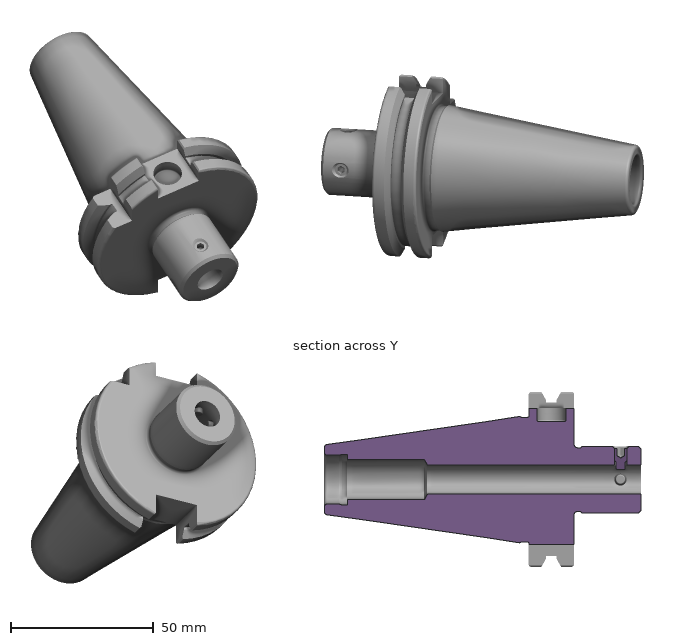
import cadquery as cq
import math


gauge_diameter = 44.45
taper_length = 68.4
taper_ratio = 7 / 24
small_end_diameter = gauge_diameter - taper_ratio * taper_length
small_end_fillet = 1.2

relief_diameter = 43.8
relief_chamfer_length = 0.6
relief_fillet = 0.6

flange_diameter = 63.55
flange_start = 3.2
flange_end = 19.1
flange_edge_fillet = 1.0

groove_center = 11.1
groove_floor_diameter = 56.0
groove_mouth_width = 7.0
groove_floor_width = 3.7
groove_wall_angle = 30.0

slot_width = 16.1
slot_edge_chamfer = 0.5
top_slot_floor = 25.0
bottom_slot_floor = 22.8
notch_offset = 18.5

pocket_diameter = 10.0
pocket_depth = 4.6
pocket_floor_fillet = 0.4

nose_diameter = 23.5
nose_end = 42.5
nose_end_chamfer = 1.0
nose_neck_diameter = 22.5
nose_neck_fillet = 1.0
nose_neck_end = 21.3
nose_neck_step = (nose_diameter - nose_neck_diameter) / 2

through_bore_diameter = 10.0
thread_bore_diameter = 13.84
thread_bore_depth = 35.0
drill_point_half_angle = 60.0
pilot_diameter = 17.0
pilot_mouth_fillet = 1.0
pilot_length = 5.3
undercut_diameter = 17.6
undercut_lead_length = 1.0
undercut_end = 8.1

screw_diameter = 4.3
screw_axis_from_end = 7.2
screw_axis_x = nose_end - screw_axis_from_end
screw_tip_radius = 3.5
screw_length = 7.4
dog_point_diameter = 3.3
dog_point_length = 2.5
dog_point_fillet = 0.3
hex_across_flats = 2.5
hex_depth = 2.5
hex_sides = 6
hex_half_side_angle = 180 / hex_sides
screw_hole_mouth_diameter = 6.0
screw_angles = (0, -90)

through_margin = 1.0


def revolve_profile(profile):
    """Turn a closed half-profile drawn in the XY plane about the X axis."""
    return profile.close().revolve(360, (0, 0, 0), (1, 0, 0))


def make_blank():
    """Taper, relief neck, flange and nose as one turned blank."""
    relief_radius = relief_diameter / 2
    flange_radius = flange_diameter / 2
    neck_radius = nose_neck_diameter / 2
    nose_radius = nose_diameter / 2

    taper = revolve_profile(
        cq.Workplane("XY")
        .moveTo(-taper_length, 0)
        .lineTo(-taper_length, small_end_diameter / 2)
        .lineTo(0, gauge_diameter / 2)
        .lineTo(relief_chamfer_length, relief_radius)
        .lineTo(relief_chamfer_length, 0)
    ).faces("<X").edges().fillet(small_end_fillet)

    flange_and_nose = revolve_profile(
        cq.Workplane("XY")
        .moveTo(relief_chamfer_length, 0)
        .lineTo(relief_chamfer_length, relief_radius)
        .lineTo(flange_start - relief_fillet, relief_radius)
        .radiusArc((flange_start, relief_radius + relief_fillet), -relief_fillet)
        .lineTo(flange_start, flange_radius - flange_edge_fillet)
        .radiusArc((flange_start + flange_edge_fillet, flange_radius), flange_edge_fillet)
        .lineTo(flange_end - flange_edge_fillet, flange_radius)
        .radiusArc((flange_end, flange_radius - flange_edge_fillet), flange_edge_fillet)
        .lineTo(flange_end, neck_radius + nose_neck_fillet)
        .radiusArc((flange_end + nose_neck_fillet, neck_radius), -nose_neck_fillet)
        .lineTo(nose_neck_end, neck_radius)
        .lineTo(nose_neck_end + nose_neck_step, nose_radius)
        .lineTo(nose_end - nose_end_chamfer, nose_radius)
        .lineTo(nose_end, nose_radius - nose_end_chamfer)
        .lineTo(nose_end, 0)
    )
    return taper.union(flange_and_nose)


def make_groove():
    """Gripper groove: sloped mouth above a narrow straight-sided floor."""
    mouth_radius = flange_diameter / 2
    half_mouth = groove_mouth_width / 2
    half_floor = groove_floor_width / 2
    slope_depth = (half_mouth - half_floor) / math.tan(math.radians(groove_wall_angle))
    slope_end_radius = mouth_radius - slope_depth
    return revolve_profile(
        cq.Workplane("XY")
        .moveTo(groove_center - half_floor, groove_floor_diameter / 2)
        .lineTo(groove_center - half_floor, slope_end_radius)
        .lineTo(groove_center - half_mouth, mouth_radius)
        .lineTo(groove_center - half_mouth, mouth_radius + through_margin)
        .lineTo(groove_center + half_mouth, mouth_radius + through_margin)
        .lineTo(groove_center + half_mouth, mouth_radius)
        .lineTo(groove_center + half_floor, slope_end_radius)
        .lineTo(groove_center + half_floor, groove_floor_diameter / 2)
    )


def make_flange_cut(outline):
    """Extrude a closed outline drawn in the YZ plane across the width of the flange."""
    flange_width = flange_end - flange_start
    return cq.Workplane("YZ", origin=(flange_start, 0, 0)).polyline(outline).close().extrude(flange_width)


def make_slot(floor, side):
    """Drive slot with chamfered outer edges; side is +1 for the top and -1 for the bottom."""
    half_slot = slot_width / 2
    half_mouth = half_slot + slot_edge_chamfer
    mouth_height = math.sqrt((flange_diameter / 2) ** 2 - half_mouth ** 2)
    chamfer_start = mouth_height - slot_edge_chamfer
    outside = flange_diameter / 2 + through_margin
    half_outside = half_mouth + outside - mouth_height
    return make_flange_cut([
        (-half_slot, side * floor),
        (half_slot, side * floor),
        (half_slot, side * chamfer_start),
        (half_outside, side * outside),
        (-half_outside, side * outside),
        (-half_slot, side * chamfer_start),
    ])


def make_notch():
    """Square corner notch on the -Y, +Z side."""
    outside = flange_diameter / 2
    return make_flange_cut([
        (-notch_offset, notch_offset),
        (-notch_offset, outside),
        (-outside, outside),
        (-outside, notch_offset),
    ])


def make_flange_cuts():
    """Two drive slots and the corner notch."""
    return make_slot(top_slot_floor, 1).union(make_slot(bottom_slot_floor, -1)).union(make_notch())


def make_pocket():
    """Blind round pocket in the top slot floor."""
    return (
        cq.Workplane("XY", origin=(groove_center, 0, top_slot_floor - pocket_depth))
        .circle(pocket_diameter / 2)
        .extrude(pocket_depth)
        .faces("<Z").edges().fillet(pocket_floor_fillet)
    )


def make_bore():
    """Pilot, undercut, thread bore with drill point and through bore."""
    mouth_x = -taper_length
    pilot_radius = pilot_diameter / 2
    thread_radius = thread_bore_diameter / 2
    through_radius = through_bore_diameter / 2
    undercut_radius = undercut_diameter / 2
    drill_point_length = (thread_radius - through_radius) / math.tan(math.radians(drill_point_half_angle))
    thread_end = mouth_x + thread_bore_depth
    return revolve_profile(
        cq.Workplane("XY")
        .moveTo(mouth_x, 0)
        .lineTo(mouth_x, pilot_radius + pilot_mouth_fillet)
        .radiusArc((mouth_x + pilot_mouth_fillet, pilot_radius), -pilot_mouth_fillet)
        .lineTo(mouth_x + pilot_length, pilot_radius)
        .lineTo(mouth_x + pilot_length + undercut_lead_length, undercut_radius)
        .lineTo(mouth_x + undercut_end, undercut_radius)
        .lineTo(mouth_x + undercut_end, thread_radius)
        .lineTo(thread_end, thread_radius)
        .lineTo(thread_end + drill_point_length, through_radius)
        .lineTo(nose_end, through_radius)
        .lineTo(nose_end, 0)
    )


def place_on_nose(shape, angle):
    """Move a shape built along +Z at the origin to its radial place on the nose."""
    return shape.rotate((0, 0, 0), (1, 0, 0), angle).translate((screw_axis_x, 0, 0))


def make_screw_hole():
    """Screw hole from the bore outward with a 45 degree countersunk mouth."""
    nose_radius = nose_diameter / 2
    hole_radius = screw_diameter / 2
    mouth_radius = screw_hole_mouth_diameter / 2
    countersink_depth = mouth_radius - hole_radius
    outer_radius = mouth_radius + through_margin
    return (
        cq.Workplane("XZ")
        .lineTo(hole_radius, 0)
        .lineTo(hole_radius, nose_radius - countersink_depth)
        .lineTo(outer_radius, nose_radius + through_margin)
        .lineTo(0, nose_radius + through_margin)
        .close()
        .revolve(360, (0, 0, 0), (0, 1, 0))
    )


def make_set_screw():
    """Dog point set screw along +Z, with a drilled hexagon socket in its outer end."""
    screw_radius = screw_diameter / 2
    dog_radius = dog_point_diameter / 2
    top = screw_tip_radius + screw_length
    shoulder = screw_tip_radius + dog_point_length
    blank = (
        cq.Workplane("XZ")
        .moveTo(0, screw_tip_radius)
        .lineTo(dog_radius, screw_tip_radius)
        .lineTo(dog_radius, shoulder)
        .lineTo(screw_radius, shoulder + screw_radius - dog_radius)
        .lineTo(screw_radius, top)
        .lineTo(0, top)
        .close()
        .revolve(360, (0, 0, 0), (0, 1, 0))
        .faces("<Z").edges().fillet(dog_point_fillet)
    )
    socket_floor = top - hex_depth
    hex_across_corners = hex_across_flats / math.cos(math.radians(hex_half_side_angle))
    socket = (
        cq.Workplane("XY", origin=(0, 0, socket_floor))
        .polygon(hex_sides, hex_across_corners)
        .extrude(hex_depth)
        .rotate((0, 0, 0), (0, 0, 1), hex_half_side_angle)
    )
    socket_radius = hex_across_flats / 2
    point_depth = socket_radius / math.tan(math.radians(drill_point_half_angle))
    socket_point = (
        cq.Workplane("XZ")
        .moveTo(0, socket_floor - point_depth)
        .lineTo(socket_radius, socket_floor)
        .lineTo(0, socket_floor)
        .close()
        .revolve(360, (0, 0, 0), (0, 1, 0))
    )
    return blank.cut(socket).cut(socket_point)


def make_holder():
    """Finished holder body."""
    holder = make_blank().cut(make_groove()).cut(make_flange_cuts()).cut(make_pocket()).cut(make_bore())
    for angle in screw_angles:
        holder = holder.cut(place_on_nose(make_screw_hole(), angle))
    return holder


holder = make_holder()
set_screws = [place_on_nose(make_set_screw(), angle) for angle in screw_angles]

result = cq.Compound.makeCompound([holder.val(), *[screw.val() for screw in set_screws]])